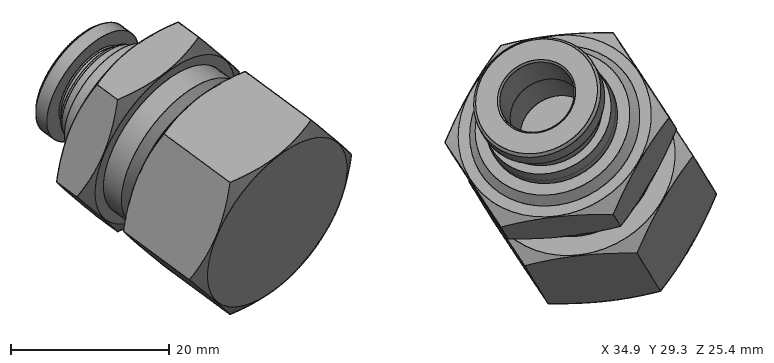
import cadquery as cq
import math


HEX_WIDTH = 25.4
HEX_FACE_DIAMETER = 25.25
HEX_CHAMFER_ANGLE = 30

TOTAL_LENGTH = 34.9
FLANGE_END = 2.3
NECK_CONE_END = 2.5
COLLAR_START = 3.5
HOUSING_START = 5.4
TAPER_END = 6.95
THREAD_START = 7.92
NUT_START = 9.05
NUT_END = 15.05
THREAD_CHAMFER_START = 18.22
RELIEF_START = 19.45
HEAD_START = 20.87

FLANGE_DIAMETER = 16.6
NECK_DIAMETER = 11.9
BORE_DIAMETER = 9.75
COLLAR_DIAMETER = 14.3
SHOULDER_DIAMETER = 17.0
SHOULDER_TAPER = 0.17
THREAD_DIAMETER = 22.23
THREAD_TIP_DIAMETER = 20.2
RELIEF_DIAMETER = 20.0

FLANGE_CHAMFER = 0.35
NECK_CONE_HEIGHT = 0.15
COLLAR_CHAMFER_LENGTH = 0.35
COLLAR_CHAMFER_HEIGHT = 0.15
BORE_CHAMFER = 0.25

TUBE_DEPTH = 10.47


def revolve_profile(points):
    """Turn a closed (x, radius) outline around the X axis."""
    return cq.Workplane("XY").polyline(points).close().revolve(360, (0, 0, 0), (1, 0, 0))


def cylinder(start, end, diameter):
    """Make a cylinder along X."""
    return cq.Workplane("YZ", origin=(start, 0, 0)).circle(diameter / 2).extrude(end - start)


def chamfered_hexagon(start, end):
    """Make a hexagon along X with corners on the Y axis and both ends chamfered."""
    corner_radius = HEX_WIDTH / 2 / math.cos(math.radians(30))
    face_radius = HEX_FACE_DIAMETER / 2
    chamfer_length = (corner_radius - face_radius) * math.tan(math.radians(HEX_CHAMFER_ANGLE))
    prism = (
        cq.Workplane("YZ", origin=(start, 0, 0))
        .polygon(6, 2 * corner_radius)
        .extrude(end - start)
    )
    envelope = revolve_profile([
        (start, 0),
        (start, face_radius),
        (start + chamfer_length, corner_radius),
        (end - chamfer_length, corner_radius),
        (end, face_radius),
        (end, 0),
    ])
    return prism.intersect(envelope)


def make_release_sleeve():
    """Make the flanged, collared sleeve that butts against the housing."""
    flange_radius = FLANGE_DIAMETER / 2
    neck_radius = NECK_DIAMETER / 2
    collar_radius = COLLAR_DIAMETER / 2
    bore_radius = BORE_DIAMETER / 2
    return revolve_profile([
        (0, bore_radius + BORE_CHAMFER),
        (0, flange_radius - FLANGE_CHAMFER),
        (FLANGE_CHAMFER, flange_radius),
        (FLANGE_END, flange_radius),
        (FLANGE_END, neck_radius + NECK_CONE_HEIGHT),
        (NECK_CONE_END, neck_radius),
        (COLLAR_START, neck_radius),
        (COLLAR_START, collar_radius - COLLAR_CHAMFER_HEIGHT),
        (COLLAR_START + COLLAR_CHAMFER_LENGTH, collar_radius),
        (HOUSING_START, collar_radius),
        (HOUSING_START, bore_radius),
        (BORE_CHAMFER, bore_radius),
    ])


def make_housing():
    """Make the stepped threaded housing with its hexagonal head and blind tube bore."""
    shoulder_radius = SHOULDER_DIAMETER / 2
    thread_radius = THREAD_DIAMETER / 2
    relief_radius = RELIEF_DIAMETER / 2
    barrel = revolve_profile([
        (HOUSING_START, 0),
        (HOUSING_START, shoulder_radius - SHOULDER_TAPER),
        (TAPER_END, shoulder_radius),
        (THREAD_START, shoulder_radius),
        (THREAD_START, THREAD_TIP_DIAMETER / 2),
        (NUT_START, thread_radius),
        (THREAD_CHAMFER_START, thread_radius),
        (RELIEF_START, relief_radius),
        (HEAD_START, relief_radius),
        (HEAD_START, 0),
    ])
    tube_bore = cylinder(HOUSING_START, TUBE_DEPTH, BORE_DIAMETER)
    return barrel.union(chamfered_hexagon(HEAD_START, TOTAL_LENGTH)).cut(tube_bore)


def make_lock_nut():
    """Make the hexagonal nut that fits around the housing thread."""
    return chamfered_hexagon(NUT_START, NUT_END).cut(cylinder(NUT_START, NUT_END, THREAD_DIAMETER))


release_sleeve = make_release_sleeve()
housing = make_housing()
lock_nut = make_lock_nut()

result = cq.Compound.makeCompound([release_sleeve.val(), housing.val(), lock_nut.val()])